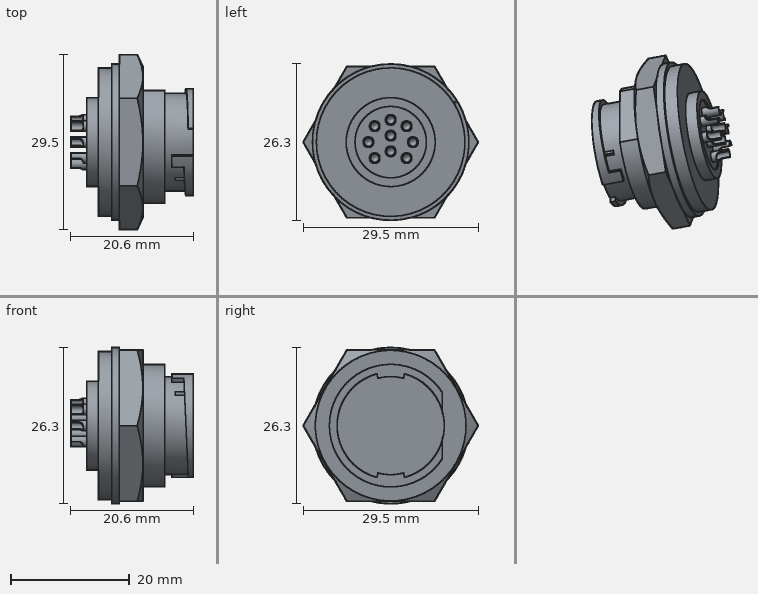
import cadquery as cq
import math


OVERLAP = 0.3

HUB_START = 2.65
FLANGE_START = 4.62
SEAL_START = 6.83
NUT_START = 8.15
NUT_END = 12.13
BARREL_END = 15.78
NOSE_END = 20.6

HUB_RADIUS = 7.48
RECESS_RADIUS = 6.0
RECESS_DEPTH = 0.3
FLANGE_RADIUS = 12.48
SEAL_RADIUS = 26.3 / 2
BARREL_RADIUS = 10.3
BARREL_FLAT_Y = 8.68
NOSE_RADIUS = 8.25

NUT_ACROSS_CORNERS = 29.45
NUT_BEVEL_RADIUS = 12.65
NUT_BEVEL_LENGTH = 0.97

LIP_RADIUS = 9.0
LIP_START_ANGLE = 15.0
LIP_END_ANGLE = 180.0 - LIP_START_ANGLE
STOP_END_ANGLE = 28.0
STOP_LENGTH = 3.62
RAMP_WIDTH = 1.27
RAMP_TILT = 2.5

DETENT_START = 17.58
DETENT_Y = 6.45
DETENT_Z = 5.68

PIN_RADIUS = 0.88
BORE_RADIUS = 0.7
CUP_LENGTH = 2.1
BORE_DEPTH = 3.53
DRILL_POINT_ANGLE = 118.0
PIN_CIRCLE_RADIUS = 3.75
PIN_DIAGONAL = 2.68
INNER_PIN_Z = 1.1
LOWER_PIN_Z = -1.55

PINS = [
    (0, PIN_CIRCLE_RADIUS, 135),
    (PIN_CIRCLE_RADIUS, 0, 45),
    (-PIN_CIRCLE_RADIUS, 0, 225),
    (PIN_DIAGONAL, PIN_DIAGONAL, 90),
    (-PIN_DIAGONAL, PIN_DIAGONAL, 180),
    (PIN_DIAGONAL, -PIN_DIAGONAL, 0),
    (-PIN_DIAGONAL, -PIN_DIAGONAL, 270),
    (0, INNER_PIN_Z, 0),
    (0, LOWER_PIN_Z, 0),
]


def disc(start, end, radius):
    """Cylinder along X between two stations."""
    return cq.Workplane("YZ", origin=(start, 0, 0)).circle(radius).extrude(end - start)


def make_barrel():
    """Round barrel with one flat that keeps it from turning in its panel hole."""
    flat_depth = BARREL_RADIUS - BARREL_FLAT_Y
    flat_cutter = cq.Workplane("XY").box(
        BARREL_END - NUT_END, flat_depth, 2 * BARREL_RADIUS, centered=(False, False, True)
    ).translate((NUT_END, BARREL_FLAT_Y, 0))
    return disc(NUT_END, BARREL_END, BARREL_RADIUS).cut(flat_cutter)


def make_body():
    body = disc(HUB_START, FLANGE_START, HUB_RADIUS)
    body = body.cut(disc(HUB_START, HUB_START + RECESS_DEPTH, RECESS_RADIUS))
    body = body.union(disc(FLANGE_START, SEAL_START, FLANGE_RADIUS))
    body = body.union(disc(SEAL_START, NUT_START, SEAL_RADIUS))
    body = body.union(make_barrel())
    return body.union(disc(BARREL_END, NOSE_END, NOSE_RADIUS))


def make_nut():
    """Hexagon whose +X corners are turned off by a cone."""
    corner_radius = NUT_ACROSS_CORNERS / 2
    clearance_radius = corner_radius + OVERLAP
    bevel_slope = NUT_BEVEL_LENGTH / (corner_radius - NUT_BEVEL_RADIUS)
    bevel_start = NUT_END - bevel_slope * (clearance_radius - NUT_BEVEL_RADIUS)
    hexagon = (
        cq.Workplane("YZ", origin=(NUT_START, 0, 0))
        .polygon(6, NUT_ACROSS_CORNERS)
        .extrude(NUT_END - NUT_START)
    )
    turned_blank = (
        cq.Workplane("XY")
        .moveTo(NUT_START, 0)
        .lineTo(NUT_START, clearance_radius)
        .lineTo(bevel_start, clearance_radius)
        .lineTo(NUT_END, NUT_BEVEL_RADIUS)
        .lineTo(NUT_END, 0)
        .close()
        .revolve(360, (0, 0, 0), (1, 0, 0))
    )
    return hexagon.intersect(turned_blank)


def lip_sector(start_angle, end_angle):
    """Part of the lip ring, as long as the entry stop, between two angles."""
    def point(radius, angle):
        turn = math.radians(angle)
        return (-radius * math.sin(turn), radius * math.cos(turn))

    root_radius = NOSE_RADIUS - OVERLAP
    middle_angle = (start_angle + end_angle) / 2
    return (
        cq.Workplane("YZ", origin=(NOSE_END - STOP_LENGTH, 0, 0))
        .moveTo(*point(root_radius, start_angle))
        .lineTo(*point(LIP_RADIUS, start_angle))
        .threePointArc(point(LIP_RADIUS, middle_angle), point(LIP_RADIUS, end_angle))
        .lineTo(*point(root_radius, end_angle))
        .threePointArc(point(root_radius, middle_angle), point(root_radius, start_angle))
        .close()
        .extrude(STOP_LENGTH)
    )


def make_bayonet_half():
    """Stop, tapering ramp and detent on the -Y side."""
    rise = LIP_RADIUS * math.tan(math.radians(RAMP_TILT))
    ramp_envelope = (
        cq.Workplane("XZ")
        .moveTo(NOSE_END, -LIP_RADIUS)
        .lineTo(NOSE_END, LIP_RADIUS)
        .lineTo(NOSE_END - RAMP_WIDTH - rise, LIP_RADIUS)
        .lineTo(NOSE_END - RAMP_WIDTH + rise, -LIP_RADIUS)
        .close()
        .extrude(LIP_RADIUS)
    )
    ramp = lip_sector(LIP_START_ANGLE, LIP_END_ANGLE).intersect(ramp_envelope)
    stop = lip_sector(LIP_START_ANGLE, STOP_END_ANGLE)
    detent = cq.Workplane("XY").box(
        NOSE_END - RAMP_WIDTH - DETENT_START, DETENT_Y, DETENT_Z, centered=False
    ).translate((DETENT_START, -DETENT_Y, 0))
    return ramp.union(stop).union(detent)


def place_pin_shape(shape, y, z, open_angle):
    """Turn a shape modelled on the X axis to its cup direction and move it to its pin."""
    return shape.rotate((0, 0, 0), (1, 0, 0), open_angle).translate((0, y, z))


def make_pin():
    """Solid pin on the X axis, long enough to reach the recess floor."""
    return disc(0, HUB_START + RECESS_DEPTH, PIN_RADIUS)


def make_cup_cutter():
    """Drilled bore, plus the removal of the +Y half of the pin with a round run-out."""
    point_depth = BORE_RADIUS / math.tan(math.radians(DRILL_POINT_ANGLE / 2))
    bore = (
        cq.Workplane("XY")
        .lineTo(0, BORE_RADIUS)
        .lineTo(BORE_DEPTH, BORE_RADIUS)
        .lineTo(BORE_DEPTH + point_depth, 0)
        .close()
        .revolve(360, (0, 0, 0), (1, 0, 0))
    )
    diagonal = PIN_RADIUS * math.sqrt(0.5)
    arc_start = CUP_LENGTH - PIN_RADIUS
    opening = (
        cq.Workplane("XY", origin=(0, 0, -PIN_RADIUS))
        .lineTo(arc_start, 0)
        .threePointArc(
            (arc_start + diagonal, PIN_RADIUS - diagonal), (CUP_LENGTH, PIN_RADIUS)
        )
        .lineTo(0, PIN_RADIUS)
        .close()
        .extrude(2 * PIN_RADIUS)
    )
    return bore.union(opening)


result = make_body().union(make_nut())

bayonet_half = make_bayonet_half()
for half_turn in (0, 180):
    result = result.union(bayonet_half.rotate((0, 0, 0), (1, 0, 0), half_turn))

pin = make_pin()
cup_cutter = make_cup_cutter()
for placement in PINS:
    result = result.union(place_pin_shape(pin, *placement))
    result = result.cut(place_pin_shape(cup_cutter, *placement))